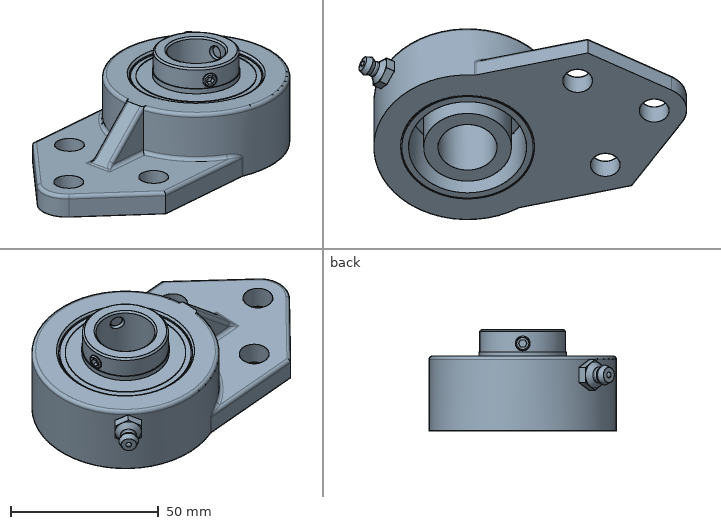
import cadquery as cq
import math

tolerance = 0.01

drum_radius = 31.8
drum_height = 25.4
total_length = 108.0
plate_width = 60.0
plate_thickness = 8.1
shoulder_y = -49.7
nose_radius = 10.0
nose_y = drum_radius + nose_radius - total_length
rib_width = 8.0
rib_foot_y = -49.8
edge_radius = 1.3
root_radius = 1.3

mount_hole_diameter = 10.0
side_hole_x = 19.0
side_hole_y = -43.3
nose_hole_y = -65.2

seat_diameter = 45.4
seat_rim_diameter = 46.8
seat_chamfer = 0.8

outer_ring_top = 24.4
outer_ring_chamfer = 0.4
outer_ring_bore = 40.0
seal_diameter = 40.8
seal_thickness = 1.5
seal_proud = 0.2
seal_rise = 0.2
inner_ring_top = 34.2
collar_diameter = 29.2
shoulder_diameter = 29.7
shoulder_top = 26.7
shaft_diameter = 20.0
ring_chamfer = 0.6

screw_diameter = 5.0
screw_z = 29.6
screw_outer_end = 15.2
screw_inner_end = 11.0
screw_chamfer = 0.4
socket_flats = 2.5
socket_depth = 2.0
screw_angles = (-30, 90)

nipple_angle = 135
nipple_z = 18.9
nipple_hex_flats = 9.0
nipple_hex_end = 34.6
nipple_base = 30.2
nipple_cone_end = 36.3
nipple_neck_radius = 2.7
nipple_groove_radius = 2.5
nipple_groove_start = 36.9
nipple_groove_end = 37.7
nipple_head_radius = 3.3
nipple_head_widest = 39.2
nipple_tip_radius = 2.6
nipple_tip = 41.3
nipple_ball_radius = 1.0
nipple_ball_height = 0.6


def hexagon_corners(across_flats):
    """Diameter through the corners of a hexagon."""
    return across_flats / math.cos(math.pi / 6)


def radial_plane(angle, distance, z):
    """Plane facing away from the drum axis, with its local Y along Z."""
    direction = (math.cos(math.radians(angle)), math.sin(math.radians(angle)), 0)
    origin = (distance * direction[0], distance * direction[1], z)
    side = (-direction[1], direction[0], 0)
    return cq.Plane(origin=origin, xDir=side, normal=direction)


def make_plate():
    half_width = plate_width / 2
    shoulder_distance = math.hypot(half_width, shoulder_y - nose_y)
    touch_angle = (math.atan2(shoulder_y - nose_y, half_width)
                   - math.acos(nose_radius / shoulder_distance))
    touch_x = nose_radius * math.cos(touch_angle)
    touch_y = nose_y + nose_radius * math.sin(touch_angle)
    plate = (
        cq.Workplane("XY")
        .moveTo(half_width, 0)
        .lineTo(half_width, shoulder_y)
        .lineTo(touch_x, touch_y)
        .threePointArc((0, nose_y - nose_radius), (-touch_x, touch_y))
        .lineTo(-half_width, shoulder_y)
        .lineTo(-half_width, 0)
        .close()
        .extrude(plate_thickness)
    )
    rim = plate.faces(">Z").edges("not >Y")
    return rim.fillet(edge_radius)


def make_rib():
    """Wedge that runs on upwards past the drum top, where it is trimmed once its crest is round."""
    steepness = (drum_height - plate_thickness) / (-drum_radius - rib_foot_y)
    peak = plate_thickness - steepness * rib_foot_y
    return (
        cq.Workplane("YZ")
        .lineTo(0, peak)
        .lineTo(rib_foot_y, plate_thickness)
        .lineTo(rib_foot_y, 0)
        .close()
        .extrude(rib_width / 2, both=True)
    )


def fillet_where(body, belongs, radius):
    """Round the edges whose centre passes the test."""
    chosen = [edge for edge in body.edges().vals() if belongs(edge.Center())]
    return body.newObject(chosen).fillet(radius)


def at_plate_top(point):
    return abs(point.z - plate_thickness) < tolerance


def at_rib_root(point):
    """True on the lines where the rib rises from the plate."""
    return at_plate_top(point) and abs(point.x) < rib_width and point.y > rib_foot_y - tolerance


def at_rib_crest(point):
    """True on the two long sloping edges of the rib."""
    return abs(abs(point.x) - rib_width / 2) < tolerance and point.z > drum_height - plate_thickness


def at_drum_root(point):
    """True on the arc where the drum rises from the plate."""
    return at_plate_top(point) and abs(point.x) < tolerance and point.y > -drum_radius


def make_housing():
    plate = make_plate()
    drum = cq.Workplane("XY").circle(drum_radius).extrude(drum_height)
    drum = drum.faces(">Z").edges().fillet(edge_radius)
    drum_on_plate = fillet_where(plate.union(drum), at_drum_root, root_radius)

    rib_on_plate = fillet_where(plate.union(make_rib()), at_rib_root, root_radius)
    rib_on_plate = fillet_where(rib_on_plate, at_rib_crest, edge_radius)
    trim = cq.Workplane("XY").rect(2 * total_length, 2 * total_length).extrude(drum_height)
    housing = drum_on_plate.union(rib_on_plate.intersect(trim))

    seat = cq.Workplane("XY").circle(seat_diameter / 2).extrude(drum_height)
    seat_rim = cq.Solid.makeCone(
        seat_diameter / 2, seat_rim_diameter / 2, seat_chamfer, pnt=cq.Vector(0, 0, drum_height - seat_chamfer)
    )
    mount_holes = (
        cq.Workplane("XY")
        .pushPoints([(-side_hole_x, side_hole_y), (side_hole_x, side_hole_y), (0, nose_hole_y)])
        .circle(mount_hole_diameter / 2)
        .extrude(plate_thickness)
    )
    return housing.cut(seat).cut(cq.Workplane(seat_rim)).cut(mount_holes)


def make_seal():
    """Ring-shaped seal whose top rises towards the inner ring."""
    bottom = outer_ring_top - seal_thickness
    outer_top = outer_ring_top + seal_proud
    return (
        cq.Workplane("XZ")
        .moveTo(shoulder_diameter / 2, bottom)
        .lineTo(seal_diameter / 2, bottom)
        .lineTo(seal_diameter / 2, outer_top)
        .lineTo(shoulder_diameter / 2, outer_top + seal_rise)
        .close()
        .revolve(360, (0, 0, 0), (0, 1, 0))
    )


def make_outer_ring():
    ring = cq.Workplane("XY").circle(seat_diameter / 2).extrude(outer_ring_top)
    ring = ring.edges().chamfer(outer_ring_chamfer)
    ring = ring.cut(cq.Workplane("XY").circle(outer_ring_bore / 2).extrude(outer_ring_top))
    return ring.cut(make_seal())


def make_inner_ring():
    shoulder = cq.Workplane("XY").circle(shoulder_diameter / 2).extrude(shoulder_top)
    collar = cq.Workplane("XY").circle(collar_diameter / 2).extrude(inner_ring_top)
    ring = shoulder.union(collar)
    ring = ring.cut(cq.Workplane("XY").circle(shaft_diameter / 2).extrude(inner_ring_top))
    ring = ring.faces(">Z").edges().chamfer(ring_chamfer)
    for angle in screw_angles:
        plane = radial_plane(angle, 0, screw_z)
        ring = ring.cut(cq.Workplane(plane).circle(screw_diameter / 2).extrude(screw_outer_end))
    return ring


def make_set_screw(angle):
    outer_face = radial_plane(angle, screw_outer_end, screw_z)
    screw = cq.Workplane(outer_face).circle(screw_diameter / 2).extrude(screw_inner_end - screw_outer_end)
    screw = screw.edges().chamfer(screw_chamfer)
    socket = cq.Workplane(outer_face).polygon(6, hexagon_corners(socket_flats)).extrude(-socket_depth)
    return screw.cut(socket)


def make_nipple():
    """Hexagon foot, cone, grooved neck and round head with a ball in its tip."""
    hexagon = (
        cq.Workplane(radial_plane(nipple_angle, nipple_base, nipple_z))
        .transformed(rotate=(0, 0, 30))
        .polygon(6, hexagon_corners(nipple_hex_flats))
        .extrude(nipple_hex_end - nipple_base)
    )
    cap_radius = (nipple_ball_radius**2 + nipple_ball_height**2) / (2 * nipple_ball_height)
    axis_plane = radial_plane(nipple_angle, 0, nipple_z)
    fitting = (
        cq.Workplane(cq.Plane(origin=axis_plane.origin, xDir=axis_plane.xDir, normal=-axis_plane.yDir))
        .moveTo(0, nipple_hex_end)
        .lineTo(nipple_hex_flats / 2, nipple_hex_end)
        .lineTo(nipple_neck_radius, nipple_cone_end)
        .lineTo(nipple_neck_radius, nipple_groove_start)
        .lineTo(nipple_groove_radius, nipple_groove_end)
        .lineTo(nipple_head_radius, nipple_head_widest)
        .lineTo(nipple_tip_radius, nipple_tip)
        .lineTo(nipple_ball_radius, nipple_tip)
        .radiusArc((0, nipple_tip + nipple_ball_height), -cap_radius)
        .close()
        .revolve(360, (0, 0, 0), (0, 1, 0))
    )
    drum = cq.Workplane("XY").circle(drum_radius).extrude(drum_height)
    return hexagon.union(fitting).cut(drum)


housing = make_housing()
outer_ring = make_outer_ring()
seal = make_seal()
inner_ring = make_inner_ring()
set_screws = [make_set_screw(angle).val() for angle in screw_angles]
nipple = make_nipple()

result = cq.Compound.makeCompound(
    [housing.val(), outer_ring.val(), seal.val(), inner_ring.val(), nipple.val(), *set_screws]
)